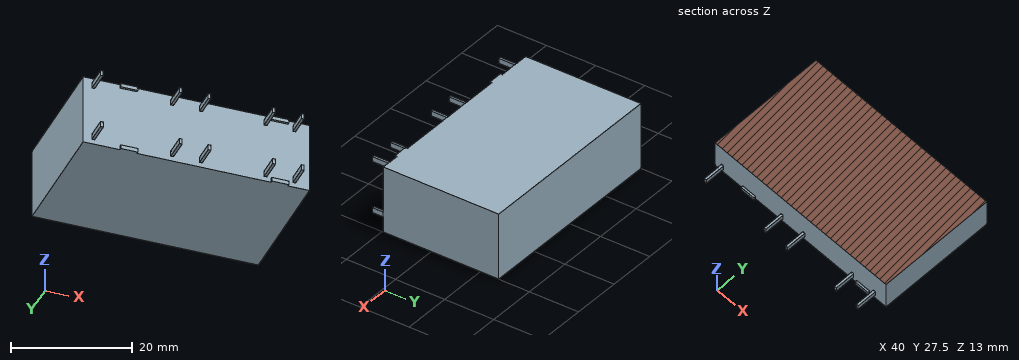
import cadquery as cq

case_length = 40.0
case_depth = 23.5
case_height = 13.0

pin_width = 0.5
pin_height = 1.0
pin_length = 4.0
pin_row_spacing = 10.2
first_pin_x = -18.2
pin_offsets = [0, 13.9, 19.0, 30.4, 35.5]

foot_width = 3.0
foot_height = 0.7
foot_length = 0.4
foot_centers_x = [-12.0, 14.7]


def front_block(x, z, width, height, length):
    """Box rooted on the front face and projecting towards -Y."""
    block = cq.Workplane("XY").box(width, length, height)
    return block.translate((x, -length / 2, z))


result = cq.Workplane("XY").box(case_length, case_depth, case_height)
result = result.translate((0, case_depth / 2, 0))

for side in (-1, 1):
    pin_z = side * pin_row_spacing / 2
    for offset in pin_offsets:
        pin = front_block(first_pin_x + offset, pin_z, pin_width, pin_height, pin_length)
        result = result.union(pin)

    foot_z = side * (case_height - foot_height) / 2
    for foot_x in foot_centers_x:
        foot = front_block(foot_x, foot_z, foot_width, foot_height, foot_length)
        result = result.union(foot)